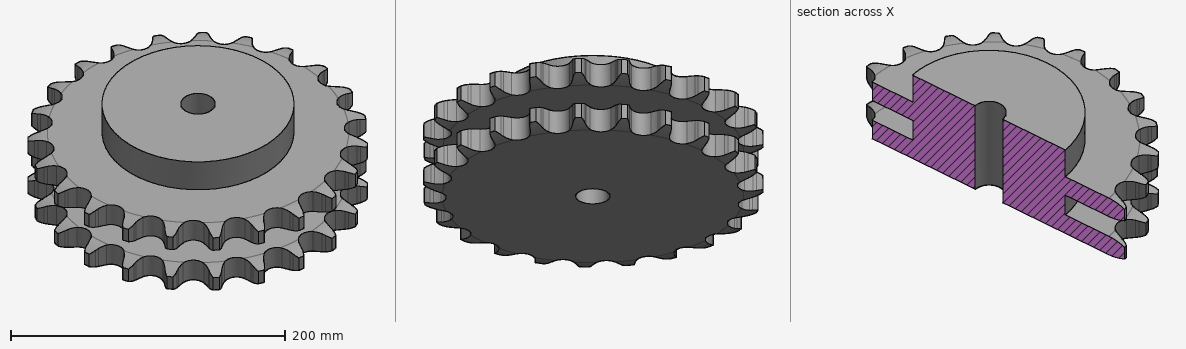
import cadquery as cq
import math


CHAIN_PITCH = 31.7
ROLLER_DIAMETER = 19.0
STRAND_SPACING = 36.5

TOOTH_COUNT = 23
TIP_DIAMETER = 248.2
PLATE_WIDTH = 18.0
HUB_DIAMETER = 140.0
BORE_DIAMETER = 25.0
TOTAL_HEIGHT = 80.0
FIRST_TOOTH_ANGLE = -90

SIDE_START_RADIUS = 109.9
SIDE_CURVE_RADIUS = 32.0
RIM_MARGIN = 2.5

SEAT_RADIUS = 0.5025 * ROLLER_DIAMETER + 0.037
SEAT_ANGLE = 35 + 60 / TOOTH_COUNT
WORKING_SWEEP = 18 - 56 / TOOTH_COUNT
WORKING_OFFSET = 0.8 * ROLLER_DIAMETER
TOPPING_OFFSET = 1.4 * ROLLER_DIAMETER

TIP_RADIUS = TIP_DIAMETER / 2
TOOTH_STEP = 360 / TOOTH_COUNT
PITCH_RADIUS = CHAIN_PITCH / (2 * math.sin(math.radians(TOOTH_STEP / 2)))


def offset(point, distance, angle):
    """Point at a distance from another one, in the direction of an angle in degrees."""
    turn = math.radians(angle)
    return (point[0] + distance * math.cos(turn), point[1] + distance * math.sin(turn))


def rotated(point, angle):
    """Point turned about the Z axis by an angle in degrees."""
    start_angle = math.degrees(math.atan2(point[1], point[0]))
    return offset((0, 0), math.hypot(*point), start_angle + angle)


def left_flank():
    """Named outline points from the roller seat up to the tooth tip on the -X side.

    The tooth gap is centred on +Y. Its flank is a concave working arc,
    a short straight tangent to it, and a convex topping arc.
    """
    seat_center = (0, PITCH_RADIUS)
    working_center = offset(seat_center, WORKING_OFFSET, SEAT_ANGLE)
    working_radius = SEAT_RADIUS + WORKING_OFFSET

    straight_normal = SEAT_ANGLE - WORKING_SWEEP
    topping_center = offset(seat_center, TOPPING_OFFSET, 180 + TOOTH_STEP / 2)
    topping_radius = (
        WORKING_OFFSET * math.cos(math.radians(WORKING_SWEEP))
        + TOPPING_OFFSET * math.cos(math.radians(straight_normal - TOOTH_STEP / 2))
        - working_radius
    )

    center_radius = math.hypot(*topping_center)
    center_angle = math.degrees(math.atan2(topping_center[1], topping_center[0]))
    tip_cosine = (TIP_RADIUS**2 - center_radius**2 - topping_radius**2) / (2 * center_radius * topping_radius)
    tip_normal = center_angle - math.degrees(math.acos(tip_cosine))

    return {
        "seat_end": offset(seat_center, SEAT_RADIUS, 180 + SEAT_ANGLE),
        "working_middle": offset(working_center, working_radius, 180 + SEAT_ANGLE - WORKING_SWEEP / 2),
        "straight_start": offset(working_center, working_radius, 180 + straight_normal),
        "straight_end": offset(topping_center, topping_radius, straight_normal),
        "topping_middle": offset(topping_center, topping_radius, (straight_normal + tip_normal) / 2),
        "tip": offset(topping_center, topping_radius, tip_normal),
    }


def toothed_blank():
    """Square-edged plate with all the teeth, its lower face at Z = 0."""
    left_points = left_flank()
    right_points = {name: (-x, y) for name, (x, y) in left_points.items()}
    seat_bottom = (0, PITCH_RADIUS - SEAT_RADIUS)
    tip_crown = (0, TIP_RADIUS)
    first_gap_turn = FIRST_TOOTH_ANGLE - 90 + TOOTH_STEP / 2

    outline = cq.Workplane("XY").moveTo(*rotated(right_points["tip"], first_gap_turn))
    for gap in range(TOOTH_COUNT):
        turn = first_gap_turn + gap * TOOTH_STEP
        right = {name: rotated(point, turn) for name, point in right_points.items()}
        left = {name: rotated(point, turn) for name, point in left_points.items()}
        outline = (
            outline
            .threePointArc(right["topping_middle"], right["straight_end"])
            .lineTo(*right["straight_start"])
            .threePointArc(right["working_middle"], right["seat_end"])
            .threePointArc(rotated(seat_bottom, turn), left["seat_end"])
            .threePointArc(left["working_middle"], left["straight_start"])
            .lineTo(*left["straight_end"])
            .threePointArc(left["topping_middle"], left["tip"])
            .threePointArc(
                rotated(tip_crown, turn + TOOTH_STEP / 2),
                rotated(right_points["tip"], turn + TOOTH_STEP),
            )
        )
    return outline.close().extrude(PLATE_WIDTH)


def side_drop(radius):
    """How far the rounded side lies inside the plate face at a radius."""
    return SIDE_CURVE_RADIUS - math.sqrt(SIDE_CURVE_RADIUS**2 - (radius - SIDE_START_RADIUS) ** 2)


def rounded_envelope():
    """Disc whose two faces curve inwards, tangentially, towards the rim."""
    rim_radius = TIP_RADIUS + RIM_MARGIN
    rim_drop = side_drop(rim_radius)
    middle_radius = (SIDE_START_RADIUS + rim_radius) / 2
    middle_drop = side_drop(middle_radius)
    return (
        cq.Workplane("XZ")
        .lineTo(SIDE_START_RADIUS, 0)
        .threePointArc((middle_radius, middle_drop), (rim_radius, rim_drop))
        .lineTo(rim_radius, PLATE_WIDTH - rim_drop)
        .threePointArc((middle_radius, PLATE_WIDTH - middle_drop), (SIDE_START_RADIUS, PLATE_WIDTH))
        .lineTo(0, PLATE_WIDTH)
        .close()
        .revolve(360, (0, 0, 0), (0, 1, 0))
    )


lower_plate = toothed_blank().intersect(rounded_envelope())
upper_plate = lower_plate.translate((0, 0, STRAND_SPACING))
hub = cq.Workplane("XY").circle(HUB_DIAMETER / 2).extrude(TOTAL_HEIGHT)
bore = cq.Workplane("XY").circle(BORE_DIAMETER / 2).extrude(TOTAL_HEIGHT)

result = hub.union(lower_plate).union(upper_plate).cut(bore)